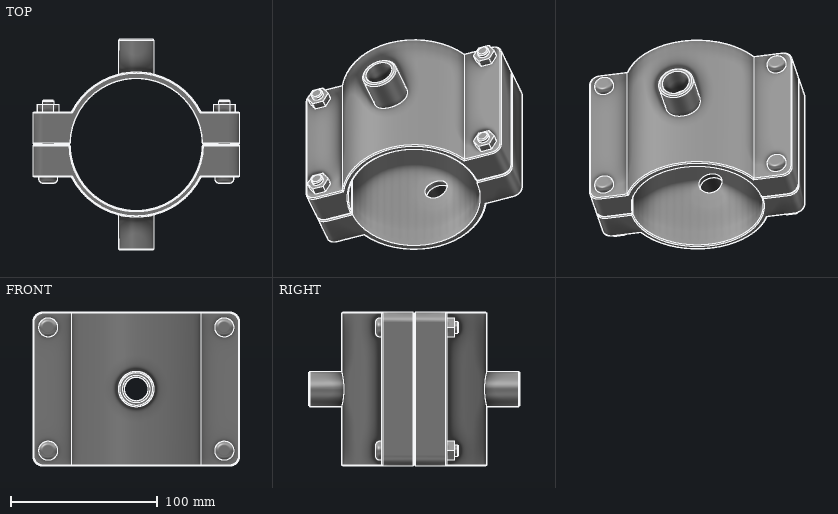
import math

import cadquery as cq

length = 105.0
bore_radius = 45.0
shell_radius = 49.4
ear_span = 141.0
parting_gap = 0.4
ear_thickness = 22.0
ear_corner_radius = 7.0
edge_chamfer = 0.8
ear_face = parting_gap / 2 + ear_thickness
ear_root_x = math.sqrt(shell_radius**2 - ear_face**2)
margin = 0.1

spigot_diameter = 24.22
spigot_bore = 18.63
spigot_reach = 72.0
spigot_chamfer = 1.0
wall_hole_diameter = 16.0

bolt_inset = 10.5
bolt_x = ear_span / 2 - bolt_inset
bolt_z = length / 2 - bolt_inset
head_diameter = 13.0
head_height = 4.2
head_rounding = 3.0
nut_across_flats = 13.0
nut_across_corners = nut_across_flats / math.cos(math.pi / 6)
nut_height = 5.2
nut_face = ear_face + nut_height
shank_diameter = 8.0
tip_height = 2.8
tip_face = nut_face + tip_height
tip_chamfer = 0.8


def facing_front(x, y, z):
    """Workplane at a point, facing -Y, with its local X along +X and its local Y along +Z."""
    return cq.Workplane(cq.Plane(origin=(x, y, z), xDir=(1, 0, 0), normal=(0, -1, 0)))


def edges_inside(low, high):
    """Selector of the edges that lie wholly inside the box between two opposite corners."""
    return cq.selectors.BoxSelector(low, high, boundingbox=True)


def upright_cylinder(radius):
    """Cylinder around the Z axis, over the clamp's full length."""
    return cq.Workplane("XY").circle(radius).extrude(length / 2, both=True)


def blank_half():
    """Half ring with two round-cornered ears, on the -Y side of the gap."""
    ears = facing_front(0, -parting_gap / 2, 0).rect(ear_span, length).extrude(ear_thickness)
    ears = ears.edges("|Y").fillet(ear_corner_radius)
    front_space = facing_front(0, -parting_gap / 2, 0).rect(ear_span, length).extrude(shell_radius)
    half_ring = upright_cylinder(shell_radius).intersect(front_space)
    return ears.union(half_ring).cut(upright_cylinder(bore_radius))


def chamfer_half(half):
    """Chamfer all edges but the bore's bottom edge and the corners between the ears and the ring."""
    chamfered = cq.StringSyntaxSelector("not |Y")
    bore_side = bore_radius + margin
    chamfered -= edges_inside(
        (-bore_side, -bore_side, -length / 2 - margin),
        (bore_side, 0, -length / 2 + margin),
    )
    for x in (-ear_root_x, ear_root_x):
        chamfered -= edges_inside(
            (x - margin, -ear_face - margin, -length),
            (x + margin, -ear_face + margin, length),
        )
    return half.edges(chamfered).chamfer(edge_chamfer)


def half_with_wall_hole():
    """Finished front half of the clamp, with the hole that leads into its spigot."""
    wall_hole = facing_front(0, 0, 0).circle(wall_hole_diameter / 2).extrude(spigot_reach)
    return chamfer_half(blank_half()).cut(wall_hole)


def bolt_with_nut(x, z):
    """Bolt along Y through both ears, with a rounded head in front and a hexagon nut at the back."""
    head = facing_front(x, -ear_face, z).circle(head_diameter / 2).extrude(head_height)
    head = head.faces("<Y").edges().fillet(head_rounding)
    shank = facing_front(x, tip_face, z).circle(shank_diameter / 2).extrude(tip_face + ear_face)
    shank = shank.faces(">Y").edges().chamfer(tip_chamfer)
    nut = facing_front(x, nut_face, z).polygon(6, nut_across_corners).extrude(nut_height)
    return shank.union(head).union(nut)


def front_spigot():
    """Tube toward -Y, its inner end curved to sit on the outside of the ring."""
    tube = facing_front(0, 0, 0).circle(spigot_diameter / 2).extrude(spigot_reach)
    tube = tube.faces("<Y").edges().chamfer(spigot_chamfer)
    tube_bore = facing_front(0, 0, 0).circle(spigot_bore / 2).extrude(spigot_reach)
    return tube.cut(tube_bore).cut(upright_cylinder(shell_radius))


def turned_to_back(front_part):
    """Copy of a front part, turned half a turn about the X axis."""
    return front_part.rotate((0, 0, 0), (1, 0, 0), 180)


front_half = half_with_wall_hole()
clamp = front_half.union(turned_to_back(front_half))
for x in (-bolt_x, bolt_x):
    for z in (-bolt_z, bolt_z):
        clamp = clamp.union(bolt_with_nut(x, z))

spigot = front_spigot()
spigots = [spigot, turned_to_back(spigot)]

result = cq.Compound.makeCompound([clamp.val()] + [part.val() for part in spigots])